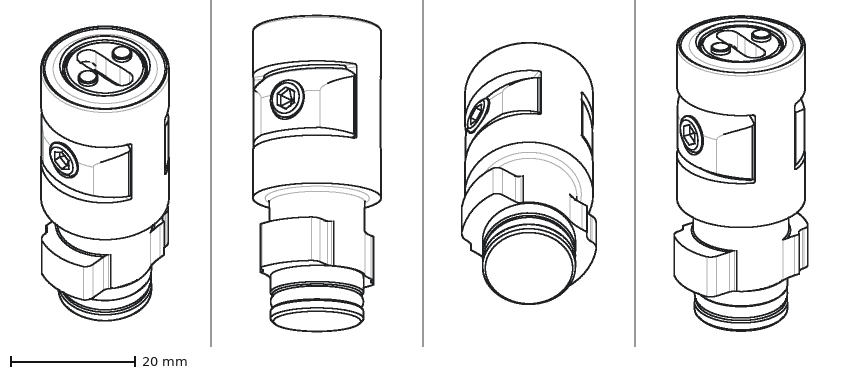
import cadquery as cq
import math

TOTAL_HEIGHT = 49.12
BODY_RADIUS = 10.35
BODY_BOTTOM = 20.45
BODY_TOP = 48.3
CAP_FACE_Z = 48.15
RIM_INNER_RADIUS = 9.7
BODY_TOP_ROUND = 0.35
NECK_RADIUS = 7.7
NECK_BOTTOM = 7.5
NECK_ROUND = 0.7

SPIGOT_RADIUS = 7.5
SPIGOT_END_CHAMFER = 0.45
GROOVE_BOTTOM = 2.0
GROOVE_TOP = 4.5
GROOVE_FLOOR_RADIUS = 6.0
GROOVE_EDGE_CHAMFER = 0.3
ORING_SECTION_RADIUS = 1.05
ORING_CENTER_RADIUS = SPIGOT_RADIUS - ORING_SECTION_RADIUS
ORING_Z = (GROOVE_BOTTOM + GROOVE_TOP) / 2

LIP_FOOT_RADIUS = 8.4
LIP_CREST_RADIUS = 7.27
LIP_HEIGHT = 0.62
LIP_INNER_RADIUS = 6.8
LIP_INNER_Z = 48.3
LIP_CREST_Z = CAP_FACE_Z + LIP_HEIGHT
LIP_RUN = LIP_FOOT_RADIUS - LIP_CREST_RADIUS
LIP_COVE_RADIUS = (LIP_RUN**2 + LIP_HEIGHT**2) / (2 * LIP_HEIGHT)
DISC_Z = 48.35
DISC_RADIUS = 6.5
DISC_CHAMFER = 0.35
RING_GROOVE_Z = 47.7

PIN_RADIUS = 1.55
PIN_OFFSET = 4.0
PIN_CHAMFER = 0.2

SLOT_LENGTH = 11.0
SLOT_WIDTH = 3.6
SLOT_WAIST_WIDTH = 3.4
SLOT_WAIST_HALF_LENGTH = 1.55
SLOT_DEPTH = 4.0
BORE_RADIUS = 1.8
BORE_OFFSET = 4.39
BORE_LENGTH = 2.9
BORE_TILT = 32.0

WEB_HALF_WIDTH = 3.9
WINDOW_BOTTOM = 28.4
WINDOW_TOP_FRONT = 40.35
WINDOW_TOP_REAR = 40.7
WINDOW_CORNER_ROUND = 0.4
CORE_REACH = 9.95
CORE_FACE_RADIUS = 12.3
CORE_AXIS_OFFSET = CORE_FACE_RADIUS - CORE_REACH
CORE_SIDE_RADIUS = 10.25
CORE_HALF_LENGTH = 9.3
CORE_FOOT_INSET = 1.8
CORE_STRAIGHT_BOTTOM = 29.7
CORE_DOME_BOTTOM = 35.9
CORE_DOME_TOP = 39.95
CORE_DOME_RADIUS = 4.84
CORE_TOP_BEVEL_WIDTH = 0.25
CORE_TOP_BEVEL_HEIGHT = 0.2

SCREW_Z = 34.9
SCREW_RADIUS = 3.05
SCREW_REACH = 10.2
SCREW_CHAMFER_LENGTH = 0.4
SCREW_CHAMFER_WIDTH = 0.55
SCREW_SEAT = 8.0
COUNTERSINK_START = 9.56
COUNTERSINK_LENGTH = 1.0
HEX_ACROSS_FLATS = 3.15
HEX_CIRCUMRADIUS = HEX_ACROSS_FLATS / math.sqrt(3)
HEX_DEPTH = 1.2
HEX_POINT_DEPTH = 0.8
HEX_POINT_BLUNT = 0.008

LUG_RADIUS = 10.97
LUG_TOP = 14.7
LUG_ROOT_RISE = 0.15
LUG_ROOT_WIDTH = 0.3
LUG_PLAIN_X = 5.35
LUG_PLAIN_ROOT = (5.9, -4.97)
LUG_PLAIN_ROOT_END_Y = -6.07
LUG_TIP_START_Y = -8.57
LUG_TIP_X = 4.57
LUG_HOOK_ROOT = (-7.0, -3.15)
LUG_HOOK_X = -6.6
LUG_HOOK_INNER_Y = -5.86
LUG_HOOK_OUTER_Y = -6.87
LUG_NOTCH_X = -5.4
LUG_NOTCH_RADIUS = 1.43


def revolve_about_z(profile):
    """Turn a closed (radius, Z) profile drawn in the XZ plane about the Z axis."""
    return profile.close().revolve(360, (0, 0, 0), (0, 1, 0))


def tangent_arc_middle(straight_end, far_end):
    """Middle of an arc from straight_end, where it runs along Y, to far_end.

    Such an arc rises from its chord by a quarter of the X distance between its ends.
    """
    dx = far_end[0] - straight_end[0]
    dy = far_end[1] - straight_end[1]
    chord = math.hypot(dx, dy)
    rise = abs(dx) / 4
    middle_x = (straight_end[0] + far_end[0]) / 2 - math.copysign(rise * abs(dy) / chord, dx)
    middle_y = (straight_end[1] + far_end[1]) / 2 + math.copysign(rise * abs(dx) / chord, dy)
    return middle_x, middle_y


def turned_body():
    """Spigot, O-ring groove, neck, body, raised rim, lip and contact disc as one turning."""
    cove_angle = math.asin(LIP_RUN / LIP_COVE_RADIUS) / 2
    cove_middle = (
        LIP_FOOT_RADIUS - LIP_COVE_RADIUS * math.sin(cove_angle),
        CAP_FACE_Z + LIP_COVE_RADIUS * (1 - math.cos(cove_angle)),
    )
    round_middle = NECK_ROUND * (1 - math.sqrt(0.5))
    top_middle = BODY_TOP_ROUND * (1 - math.sqrt(0.5))
    groove_edge_radius = SPIGOT_RADIUS - GROOVE_EDGE_CHAMFER
    profile = (
        cq.Workplane("XZ")
        .moveTo(0, 0)
        .lineTo(SPIGOT_RADIUS - SPIGOT_END_CHAMFER, 0)
        .lineTo(SPIGOT_RADIUS, SPIGOT_END_CHAMFER)
        .lineTo(SPIGOT_RADIUS, GROOVE_BOTTOM - GROOVE_EDGE_CHAMFER)
        .lineTo(groove_edge_radius, GROOVE_BOTTOM)
        .lineTo(GROOVE_FLOOR_RADIUS, GROOVE_BOTTOM)
        .lineTo(GROOVE_FLOOR_RADIUS, GROOVE_TOP)
        .lineTo(groove_edge_radius, GROOVE_TOP)
        .lineTo(SPIGOT_RADIUS, GROOVE_TOP + GROOVE_EDGE_CHAMFER)
        .lineTo(SPIGOT_RADIUS, NECK_BOTTOM)
        .lineTo(NECK_RADIUS, NECK_BOTTOM)
        .lineTo(NECK_RADIUS, BODY_BOTTOM - NECK_ROUND)
        .threePointArc(
            (NECK_RADIUS + round_middle, BODY_BOTTOM - round_middle),
            (NECK_RADIUS + NECK_ROUND, BODY_BOTTOM),
        )
        .lineTo(BODY_RADIUS, BODY_BOTTOM)
        .lineTo(BODY_RADIUS, BODY_TOP - BODY_TOP_ROUND)
        .threePointArc(
            (BODY_RADIUS - top_middle, BODY_TOP - top_middle),
            (BODY_RADIUS - BODY_TOP_ROUND, BODY_TOP),
        )
        .lineTo(RIM_INNER_RADIUS, CAP_FACE_Z)
        .lineTo(LIP_FOOT_RADIUS, CAP_FACE_Z)
        .threePointArc(cove_middle, (LIP_CREST_RADIUS, LIP_CREST_Z))
        .lineTo(LIP_INNER_RADIUS, LIP_INNER_Z)
        .lineTo(LIP_INNER_RADIUS, RING_GROOVE_Z)
        .lineTo(DISC_RADIUS, RING_GROOVE_Z)
        .lineTo(DISC_RADIUS, DISC_Z - DISC_CHAMFER)
        .lineTo(DISC_RADIUS - DISC_CHAMFER, DISC_Z)
        .lineTo(0, DISC_Z)
    )
    return revolve_about_z(profile)


def o_ring():
    """O-ring seated in the spigot groove."""
    section = cq.Workplane("XZ").center(-ORING_CENTER_RADIUS, ORING_Z).circle(ORING_SECTION_RADIUS)
    return section.revolve(360, (ORING_CENTER_RADIUS, 0, 0), (ORING_CENTER_RADIUS, 1, 0))


def contact_pins():
    """Two round contact pins standing on the disc, reaching the overall height."""
    return (
        cq.Workplane("XY")
        .workplane(offset=RING_GROOVE_Z)
        .pushPoints([(0, PIN_OFFSET), (0, -PIN_OFFSET)])
        .circle(PIN_RADIUS)
        .extrude(TOTAL_HEIGHT - RING_GROOVE_Z)
        .faces(">Z")
        .edges()
        .chamfer(PIN_CHAMFER)
    )


def contact_slot():
    """Cutter for the waisted slot and the two bores that lean outward from its floor."""
    half_width = SLOT_WIDTH / 2
    straight = SLOT_LENGTH / 2 - half_width
    floor_z = DISC_Z - SLOT_DEPTH
    cutter = (
        cq.Workplane("XY")
        .workplane(offset=floor_z)
        .moveTo(-straight, -half_width)
        .lineTo(-SLOT_WAIST_HALF_LENGTH, -half_width)
        .threePointArc((0, -SLOT_WAIST_WIDTH / 2), (SLOT_WAIST_HALF_LENGTH, -half_width))
        .lineTo(straight, -half_width)
        .threePointArc((SLOT_LENGTH / 2, 0), (straight, half_width))
        .lineTo(SLOT_WAIST_HALF_LENGTH, half_width)
        .threePointArc((0, SLOT_WAIST_WIDTH / 2), (-SLOT_WAIST_HALF_LENGTH, half_width))
        .lineTo(-straight, half_width)
        .threePointArc((-SLOT_LENGTH / 2, 0), (-straight, -half_width))
        .close()
        .extrude(TOTAL_HEIGHT - floor_z)
    )
    tilt = math.radians(BORE_TILT)
    overlap = BORE_RADIUS * math.tan(tilt)
    for side in (-1, 1):
        direction = cq.Vector(side * math.sin(tilt), 0, -math.cos(tilt))
        floor_center = cq.Vector(side * BORE_OFFSET, 0, floor_z)
        start = floor_center - direction * overlap
        bore = cq.Solid.makeCylinder(BORE_RADIUS, BORE_LENGTH + overlap, start, direction)
        cutter = cutter.union(cq.Workplane(bore))
    return cutter


def window_core(top):
    """Convex domed core on the -Y side, turned about an axis offset toward +Y."""
    dome_drop = CORE_DOME_RADIUS - math.sqrt(
        CORE_DOME_RADIUS**2 - (CORE_DOME_TOP - CORE_DOME_BOTTOM) ** 2
    )
    neck_radius = CORE_FACE_RADIUS - dome_drop - CORE_TOP_BEVEL_WIDTH
    mid_rise = (CORE_DOME_TOP - CORE_DOME_BOTTOM) / 2
    mid_drop = CORE_DOME_RADIUS - math.sqrt(CORE_DOME_RADIUS**2 - mid_rise**2)
    profile = (
        cq.Workplane("XZ")
        .moveTo(0, WINDOW_BOTTOM)
        .lineTo(CORE_FACE_RADIUS - CORE_FOOT_INSET, WINDOW_BOTTOM)
        .lineTo(CORE_FACE_RADIUS, CORE_STRAIGHT_BOTTOM)
        .lineTo(CORE_FACE_RADIUS, CORE_DOME_BOTTOM)
        .threePointArc(
            (CORE_FACE_RADIUS - mid_drop, CORE_DOME_BOTTOM + mid_rise),
            (CORE_FACE_RADIUS - dome_drop, CORE_DOME_TOP),
        )
        .lineTo(neck_radius, CORE_DOME_TOP + CORE_TOP_BEVEL_HEIGHT)
        .lineTo(neck_radius, top)
        .lineTo(0, top)
    )
    face = revolve_about_z(profile).translate((0, CORE_AXIS_OFFSET, 0))
    limit = (
        cq.Workplane("XY")
        .workplane(offset=WINDOW_BOTTOM)
        .circle(CORE_SIDE_RADIUS)
        .extrude(top - WINDOW_BOTTOM)
    )
    slab = (
        cq.Workplane("XY")
        .workplane(offset=WINDOW_BOTTOM)
        .rect(2 * CORE_HALF_LENGTH, 2 * BODY_RADIUS)
        .extrude(top - WINDOW_BOTTOM)
    )
    return face.intersect(limit).intersect(slab)


def window_cutter(top):
    """Material removed around the core on the -Y side of the body."""
    depth = BODY_RADIUS
    block = (
        cq.Workplane("XY")
        .box(4 * BODY_RADIUS, depth, top - WINDOW_BOTTOM, centered=(True, False, False))
        .translate((0, -WEB_HALF_WIDTH - depth, WINDOW_BOTTOM))
        .edges("|X and >Y")
        .fillet(WINDOW_CORNER_ROUND)
    )
    return block.cut(window_core(top))


def along_front(shape, start):
    """Place a solid built along +Z from Z = 0 so that it points to -Y at screw height."""
    return shape.rotate((0, 0, 0), (1, 0, 0), 90).translate((0, -start, SCREW_Z))


def screw_countersink():
    """Conical clearance around the screw on the -Y side."""
    cone = cq.Solid.makeCone(SCREW_RADIUS, SCREW_RADIUS + COUNTERSINK_LENGTH, COUNTERSINK_LENGTH)
    return along_front(cq.Workplane(cone), COUNTERSINK_START)


def hexagon():
    """Hexagon outline at Z = 0 with two corners on the Y axis."""
    return cq.Workplane("XY").transformed(rotate=(0, 0, 90)).polygon(6, 2 * HEX_CIRCUMRADIUS)


def screw():
    """Chamfered round screw head on the -Y side, before its socket is cut."""
    length = SCREW_REACH - SCREW_SEAT
    profile = (
        cq.Workplane("XZ")
        .moveTo(0, 0)
        .lineTo(SCREW_RADIUS, 0)
        .lineTo(SCREW_RADIUS, length - SCREW_CHAMFER_LENGTH)
        .lineTo(SCREW_RADIUS - SCREW_CHAMFER_WIDTH, length)
        .lineTo(0, length)
    )
    return along_front(revolve_about_z(profile), SCREW_SEAT)


def screw_socket():
    """Hexagon socket of the -Y screw; its floor is a barely blunted six-sided point."""
    socket = hexagon().extrude(HEX_DEPTH)
    taper = math.degrees(math.atan(HEX_ACROSS_FLATS / 2 / HEX_POINT_DEPTH))
    point = hexagon().extrude(HEX_POINT_BLUNT - HEX_POINT_DEPTH, taper=taper)
    return along_front(socket.union(point), SCREW_REACH - HEX_DEPTH)


def lug():
    """Bayonet lug on the -Y side: one plain end at +X and one hooked end at -X."""
    tip_y = -math.sqrt(LUG_RADIUS**2 - LUG_TIP_X**2)
    plain_tip = (LUG_TIP_X, tip_y)
    hook_tip = (-LUG_TIP_X, tip_y)
    plain_start = (LUG_PLAIN_X, LUG_PLAIN_ROOT_END_Y)
    plain_end = (LUG_PLAIN_X, LUG_TIP_START_Y)
    hook_inner = (LUG_HOOK_X, LUG_HOOK_INNER_Y)
    hook_outer = (LUG_HOOK_X, LUG_HOOK_OUTER_Y)
    hook_end = (LUG_NOTCH_X, LUG_TIP_START_Y)
    notch_end = (LUG_NOTCH_X, LUG_HOOK_OUTER_Y - LUG_NOTCH_RADIUS)
    notch_middle = tangent_arc_middle(notch_end, hook_outer)
    root_top = LUG_TOP + LUG_ROOT_RISE
    outline = (
        cq.Workplane("XY")
        .workplane(offset=NECK_BOTTOM)
        .lineTo(*LUG_PLAIN_ROOT)
        .threePointArc(tangent_arc_middle(plain_start, LUG_PLAIN_ROOT), plain_start)
        .lineTo(*plain_end)
        .threePointArc(tangent_arc_middle(plain_end, plain_tip), plain_tip)
        .threePointArc((0, -LUG_RADIUS), hook_tip)
        .threePointArc(tangent_arc_middle(hook_end, hook_tip), hook_end)
        .lineTo(*notch_end)
        .threePointArc(notch_middle, hook_outer)
        .lineTo(*hook_inner)
        .threePointArc(tangent_arc_middle(hook_inner, LUG_HOOK_ROOT), LUG_HOOK_ROOT)
        .close()
        .extrude(root_top - NECK_BOTTOM)
    )
    envelope = revolve_about_z(
        cq.Workplane("XZ")
        .moveTo(0, NECK_BOTTOM)
        .lineTo(2 * LUG_RADIUS, NECK_BOTTOM)
        .lineTo(2 * LUG_RADIUS, LUG_TOP)
        .lineTo(NECK_RADIUS + LUG_ROOT_WIDTH, LUG_TOP)
        .lineTo(NECK_RADIUS, root_top)
        .lineTo(0, root_top)
    )
    return outline.intersect(envelope)


def half_turn(shape):
    """Copy of a shape turned 180 degrees about the Z axis."""
    return shape.rotate((0, 0, 0), (0, 0, 1), 180)


part = turned_body().union(o_ring()).union(contact_pins()).cut(contact_slot())
part = part.cut(window_cutter(WINDOW_TOP_FRONT)).cut(half_turn(window_cutter(WINDOW_TOP_REAR)))
for feature in (screw_countersink(), half_turn(screw_countersink())):
    part = part.cut(feature)
for feature in (screw(), half_turn(screw()), lug(), half_turn(lug())):
    part = part.union(feature)
for feature in (screw_socket(), half_turn(screw_socket())):
    part = part.cut(feature)

result = part